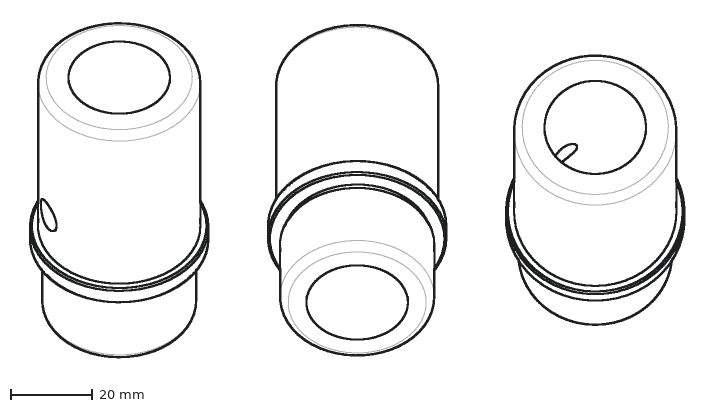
import cadquery as cq
import math

total_height = 80.0
collar_bottom = 23.0
collar_height = 5.0
collar_top = collar_bottom + collar_height

bore_radius = 25.0 / 2
body_radius = 40.0 / 2
collar_radius = 44.0 / 2
spigot_radius = 38.0 / 2

end_round = 2.0
collar_chamfer = 0.5

relief_height = 2.0
relief_depth = 0.73
relief_arc_radius = (relief_height**2 + relief_depth**2) / (2 * relief_depth)

hole_diameter = 8.376
hole_height = 41.0


def rounded_corner_middle(radius, corner_center_height, vertical_sign):
    """Midpoint of the quarter arc that rounds an outer end edge."""
    offset = end_round * math.sqrt(0.5)
    return (radius - end_round + offset, corner_center_height + vertical_sign * offset)


def make_sleeve():
    """Revolve the wall section of the collared sleeve about Z."""
    collar_rim = collar_radius - collar_chamfer
    section = (
        cq.Workplane("XZ")
        .moveTo(bore_radius, 0)
        .lineTo(spigot_radius - end_round, 0)
        .threePointArc(
            rounded_corner_middle(spigot_radius, end_round, -1),
            (spigot_radius, end_round),
        )
        .lineTo(spigot_radius, collar_bottom - relief_height)
        .radiusArc((spigot_radius - relief_depth, collar_bottom), relief_arc_radius)
        .lineTo(collar_rim, collar_bottom)
        .lineTo(collar_radius, collar_bottom + collar_chamfer)
        .lineTo(collar_radius, collar_top - collar_chamfer)
        .lineTo(collar_rim, collar_top)
        .lineTo(body_radius, collar_top)
        .lineTo(body_radius, total_height - end_round)
        .threePointArc(
            rounded_corner_middle(body_radius, total_height - end_round, 1),
            (body_radius - end_round, total_height),
        )
        .lineTo(bore_radius, total_height)
        .close()
    )
    return section.revolve(360, (0, 0, 0), (0, 1, 0))


def make_radial_hole():
    """Cylinder running from the axis outwards along -Y."""
    return (
        cq.Workplane("XZ")
        .center(0, hole_height)
        .circle(hole_diameter / 2)
        .extrude(collar_radius)
    )


result = make_sleeve().cut(make_radial_hole())